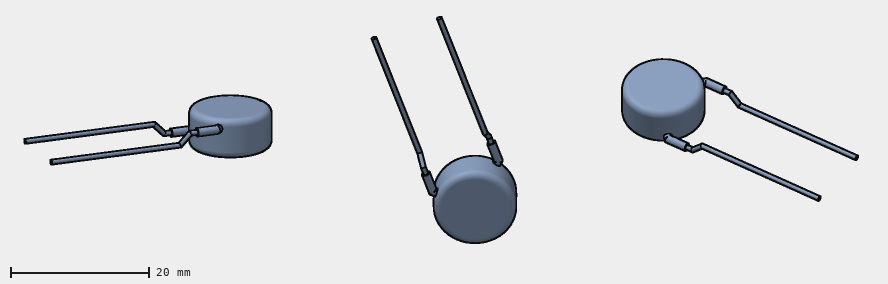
import cadquery as cq
import math

overall_length = 36.0
disc_diameter = overall_length / 3
disc_height = disc_diameter / 2
disc_edge_radius = 1.0

lead_spacing = 10.0
lead_diameter = 0.75
lead_offset_z = 1.62
sleeve_diameter = 1.25

elbow_y = -4.15
sleeve_end_y = -7.25
kink_start_y = -8.28
elbow_length = 1.8
elbow_angle = 45.0

kink_end_y = kink_start_y - lead_offset_z
lead_end_y = disc_diameter / 2 - overall_length


def swept_rod(points, diameter):
    """Round rod with mitred corners along a polyline."""
    path = cq.Workplane("XY").polyline(points)
    start = cq.Vector(*points[0])
    direction = cq.Vector(*points[1]) - start
    section = cq.Workplane(cq.Plane(origin=start, xDir=(0, 0, 1), normal=direction))
    return section.circle(diameter / 2).sweep(path, transition="right")


def make_disc():
    base = cq.Workplane("XY").workplane(offset=-disc_height / 2)
    disc = base.circle(disc_diameter / 2).extrude(disc_height)
    return disc.faces("<Z or >Z").edges().fillet(disc_edge_radius)


def make_sleeve(side):
    """Coating around one lead, bent inwards to join the disc; side is -1 or +1 along X."""
    x = side * lead_spacing / 2
    z = side * lead_offset_z
    angle = math.radians(elbow_angle)
    root = (
        x - side * elbow_length * math.sin(angle),
        elbow_y + elbow_length * math.cos(angle),
        z,
    )
    return swept_rod([root, (x, elbow_y, z), (x, sleeve_end_y, z)], sleeve_diameter)


def make_lead(side):
    """Wire from the sleeve elbow, kinked onto the mid-plane; side is -1 or +1 along X."""
    x = side * lead_spacing / 2
    z = side * lead_offset_z
    points = [(x, elbow_y, z), (x, kink_start_y, z), (x, kink_end_y, 0), (x, lead_end_y, 0)]
    return swept_rod(points, lead_diameter)


sides = (-1, 1)
leads = [make_lead(side) for side in sides]

coating = make_disc()
for side in sides:
    coating = coating.union(make_sleeve(side))
for lead in leads:
    coating = coating.cut(lead)

result = cq.Compound.makeCompound([coating.val(), *[lead.val() for lead in leads]])